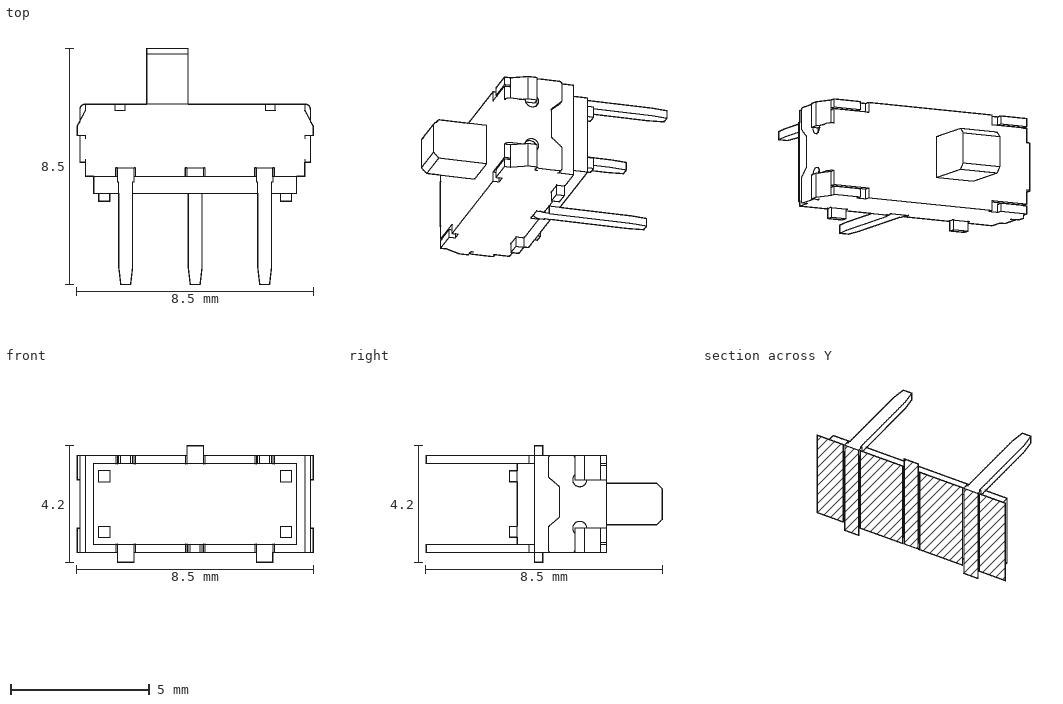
import cadquery as cq
import math

SHELL_HALF_LENGTH = 3.95
SHELL_HALF_HEIGHT = 1.75
SHELL_FRONT = 2.25
SHELL_REAR = -0.35

SEAM_DEPTH = 0.23
SEAM_BOTTOM = 1.39
SEAM_TOP = 1.45
WINDOW_INNER = 2.53
WINDOW_OUTER = 2.88

PLATE_THICKNESS = 0.2
PLATE_FACE = SHELL_HALF_LENGTH + PLATE_THICKNESS
PLATE_NECK_HALF_HEIGHT = 0.87
PLATE_SHOULDER = 1.11
PLATE_REAR = 0.15
PLATE_CORNER_RADIUS = 0.1
NOTCH_FLOOR = 0.55
NOTCH_FLOOR_TOP = 0.63
NOTCH_FLOOR_BOTTOM = -0.475
NOTCH_FLARE = 0.34
RELIEF_RADIUS = 0.25
RELIEF_CENTER = 1.28

HOOK_FACE = 4.25
HOOK_SLOPE_START = SHELL_FRONT - SEAM_DEPTH
HOOK_SLOPE_END = 1.45

BASE_HALF_LENGTH = 3.65
BASE_HALF_HEIGHT = 1.45
BASE_REAR = -0.97
STANDOFF_SIZE = 0.4
STANDOFF_REAR = BASE_REAR - 0.28
STANDOFF_X = 3.27
STANDOFF_Z = 1.0

ACTUATOR_CENTER = -1.0
ACTUATOR_LENGTH = 1.5
ACTUATOR_HEIGHT = 1.5
ACTUATOR_TIP = 4.25
ACTUATOR_CHAMFER = 0.2

TERMINAL_PITCH = 2.5
TERMINAL_THICKNESS = 0.3
STRIP_WIDTH = 0.6
STRIP_FRONT = -0.05
STRIP_REAR = STRIP_FRONT - TERMINAL_THICKNESS
STRIP_END = 2.1
SLOT_WIDTH = 0.7
PIN_WIDTH = 0.5
PIN_TIP_WIDTH = 0.36
PIN_ROOT_END = -0.55
PIN_TAPER_START = -3.65
PIN_TIP = -4.25


def box(x_range, y_range, z_range):
    """Box between the given limits on each axis."""
    sizes = [high - low for low, high in (x_range, y_range, z_range)]
    corner = (x_range[0], y_range[0], z_range[0])
    return cq.Workplane("XY").box(*sizes, centered=False).translate(corner)


def mirrored(body, plane):
    """The body together with its mirror image."""
    return body.union(body.mirror(plane))


def shell():
    body = box(
        (-SHELL_HALF_LENGTH, SHELL_HALF_LENGTH),
        (SHELL_REAR, SHELL_FRONT),
        (-SHELL_HALF_HEIGHT, SHELL_HALF_HEIGHT),
    )
    depth = (SHELL_FRONT - SEAM_DEPTH, SHELL_FRONT)
    seam = box((WINDOW_INNER, SHELL_HALF_LENGTH), depth, (SEAM_BOTTOM, SEAM_TOP))
    window = box((WINDOW_INNER, WINDOW_OUTER), depth, (SEAM_BOTTOM, SHELL_HALF_HEIGHT))
    return body.cut(mirrored(mirrored(seam.union(window), "XY"), "YZ"))


def end_plate():
    """Plate on the +X end: a rounded neck and a wider rear part with an off-centre notch."""
    neck = box(
        (SHELL_HALF_LENGTH, PLATE_FACE),
        (NOTCH_FLOOR, SHELL_FRONT),
        (-PLATE_NECK_HALF_HEIGHT, PLATE_NECK_HALF_HEIGHT),
    )
    bend_start = SHELL_FRONT - PLATE_THICKNESS
    bend_middle = PLATE_THICKNESS * math.sqrt(0.5)
    neck = neck.cut(
        cq.Workplane("XY", origin=(0, 0, -PLATE_NECK_HALF_HEIGHT))
        .moveTo(PLATE_FACE, bend_start)
        .threePointArc(
            (SHELL_HALF_LENGTH + bend_middle, bend_start + bend_middle),
            (SHELL_HALF_LENGTH, SHELL_FRONT),
        )
        .lineTo(PLATE_FACE, SHELL_FRONT)
        .close()
        .extrude(2 * PLATE_NECK_HALF_HEIGHT)
    )
    wide_part = (
        cq.Workplane("YZ", origin=(SHELL_HALF_LENGTH, 0, 0))
        .polyline([
            (PLATE_SHOULDER, -SHELL_HALF_HEIGHT),
            (PLATE_SHOULDER, SHELL_HALF_HEIGHT),
            (PLATE_REAR, SHELL_HALF_HEIGHT),
            (PLATE_REAR, NOTCH_FLOOR_TOP + NOTCH_FLARE),
            (NOTCH_FLOOR, NOTCH_FLOOR_TOP),
            (NOTCH_FLOOR, NOTCH_FLOOR_BOTTOM),
            (PLATE_REAR, NOTCH_FLOOR_BOTTOM - NOTCH_FLARE),
            (PLATE_REAR, -SHELL_HALF_HEIGHT),
        ])
        .close()
        .extrude(PLATE_THICKNESS)
        .edges("|X")
        .fillet(PLATE_CORNER_RADIUS)
    )
    reliefs = (
        cq.Workplane("YZ", origin=(SHELL_HALF_LENGTH, 0, 0))
        .pushPoints([(RELIEF_CENTER, side * PLATE_NECK_HALF_HEIGHT) for side in (-1, 1)])
        .circle(RELIEF_RADIUS)
        .extrude(PLATE_THICKNESS)
    )
    return neck.union(wide_part).cut(reliefs)


def hook():
    """Sloped hook at the +X, +Z corner of the shell."""
    return (
        cq.Workplane("XY", origin=(0, 0, PLATE_NECK_HALF_HEIGHT))
        .polyline([
            (SHELL_HALF_LENGTH, HOOK_SLOPE_START),
            (HOOK_FACE, HOOK_SLOPE_END),
            (HOOK_FACE, PLATE_SHOULDER),
            (SHELL_HALF_LENGTH, PLATE_SHOULDER),
        ])
        .close()
        .extrude(SHELL_HALF_HEIGHT - PLATE_NECK_HALF_HEIGHT)
    )


def base():
    body = box(
        (-BASE_HALF_LENGTH, BASE_HALF_LENGTH),
        (BASE_REAR, SHELL_REAR),
        (-BASE_HALF_HEIGHT, BASE_HALF_HEIGHT),
    )
    half_size = STANDOFF_SIZE / 2
    standoff = box(
        (STANDOFF_X - half_size, STANDOFF_X + half_size),
        (STANDOFF_REAR, BASE_REAR),
        (STANDOFF_Z - half_size, STANDOFF_Z + half_size),
    )
    return body.union(mirrored(mirrored(standoff, "XY"), "YZ"))


def actuator():
    half_length = ACTUATOR_LENGTH / 2
    half_height = ACTUATOR_HEIGHT / 2
    body = box(
        (ACTUATOR_CENTER - half_length, ACTUATOR_CENTER + half_length),
        (SHELL_FRONT, ACTUATOR_TIP),
        (-half_height, half_height),
    )
    return body.faces(">Y").edges("|X").chamfer(ACTUATOR_CHAMFER)


def terminal():
    """Terminal at x = 0 with its pin at +Z and its tab at -Z."""
    bend_bottom = SHELL_HALF_HEIGHT - TERMINAL_THICKNESS
    bend_offset = TERMINAL_THICKNESS * math.sqrt(0.5)
    strip = (
        cq.Workplane("YZ", origin=(-STRIP_WIDTH / 2, 0, 0))
        .moveTo(STRIP_FRONT, -STRIP_END)
        .lineTo(STRIP_FRONT, bend_bottom)
        .threePointArc(
            (STRIP_REAR + bend_offset, bend_bottom + bend_offset),
            (STRIP_REAR, SHELL_HALF_HEIGHT),
        )
        .lineTo(PIN_ROOT_END, SHELL_HALF_HEIGHT)
        .lineTo(PIN_ROOT_END, bend_bottom)
        .lineTo(STRIP_REAR, bend_bottom)
        .lineTo(STRIP_REAR, -STRIP_END)
        .close()
        .extrude(STRIP_WIDTH)
    )
    pin = (
        cq.Workplane("XY", origin=(0, 0, bend_bottom))
        .polyline([
            (-PIN_WIDTH / 2, PIN_ROOT_END),
            (-PIN_WIDTH / 2, PIN_TAPER_START),
            (-PIN_TIP_WIDTH / 2, PIN_TIP),
            (PIN_TIP_WIDTH / 2, PIN_TIP),
            (PIN_WIDTH / 2, PIN_TAPER_START),
            (PIN_WIDTH / 2, PIN_ROOT_END),
        ])
        .close()
        .extrude(TERMINAL_THICKNESS)
    )
    return strip.union(pin)


def terminal_slot():
    """Clearance slot through the shell for the terminal at x = 0."""
    return box(
        (-SLOT_WIDTH / 2, SLOT_WIDTH / 2),
        (SHELL_REAR, STRIP_FRONT),
        (-SHELL_HALF_HEIGHT, SHELL_HALF_HEIGHT),
    )


terminals = [
    terminal().translate((-TERMINAL_PITCH, 0, 0)),
    terminal().mirror("XY"),
    terminal().translate((TERMINAL_PITCH, 0, 0)),
]

result = shell()
for x in (-TERMINAL_PITCH, 0, TERMINAL_PITCH):
    result = result.cut(terminal_slot().translate((x, 0, 0)))
result = result.union(mirrored(end_plate(), "YZ"))
result = result.union(mirrored(mirrored(hook(), "XY"), "YZ"))
result = result.union(base()).union(actuator())
for strip_with_pin in terminals:
    result = result.union(strip_with_pin)